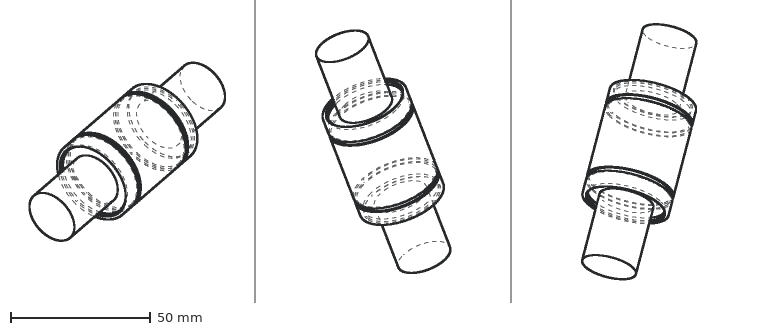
import cadquery as cq

shaft_diameter = 20.0
shaft_length = 92.0

sleeve_diameter = 32.0
sleeve_length = 42.0
sleeve_edge_radius = 0.2

groove_diameter = 30.5
groove_width = 1.6
groove_outer_span = 30.5

recess_diameter = 28.5
recess_depth = 1.5
recess_edge_chamfer = 0.4


def cylinder(diameter, length, y_start):
    """Cylinder along +Y, starting at y_start."""
    return (
        cq.Workplane("XZ", origin=(0, y_start, 0))
        .circle(diameter / 2)
        .extrude(-length)
    )


def groove_cutter(y_start):
    """Ring of material removed by one retaining-ring groove."""
    outside = cylinder(sleeve_diameter, groove_width, y_start)
    return outside.cut(cylinder(groove_diameter, groove_width, y_start))


def recess_cutter():
    """Disc that sinks the -Y end face, flared at its mouth."""
    mouth_radius = recess_diameter / 2 + recess_edge_chamfer
    face_y = -sleeve_length / 2
    floor_y = face_y + recess_depth
    return (
        cq.Workplane("XY")
        .moveTo(0, face_y)
        .lineTo(mouth_radius, face_y)
        .lineTo(recess_diameter / 2, face_y + recess_edge_chamfer)
        .lineTo(recess_diameter / 2, floor_y)
        .lineTo(0, floor_y)
        .close()
        .revolve(360, (0, 0, 0), (0, 1, 0))
    )


sleeve = cylinder(sleeve_diameter, sleeve_length, -sleeve_length / 2)
sleeve = sleeve.edges("%CIRCLE").fillet(sleeve_edge_radius)

for groove_start in (-groove_outer_span / 2, groove_outer_span / 2 - groove_width):
    sleeve = sleeve.cut(groove_cutter(groove_start))

near_recess = recess_cutter()
sleeve = sleeve.cut(near_recess).cut(near_recess.mirror("XZ"))

result = sleeve.union(cylinder(shaft_diameter, shaft_length, -shaft_length / 2))